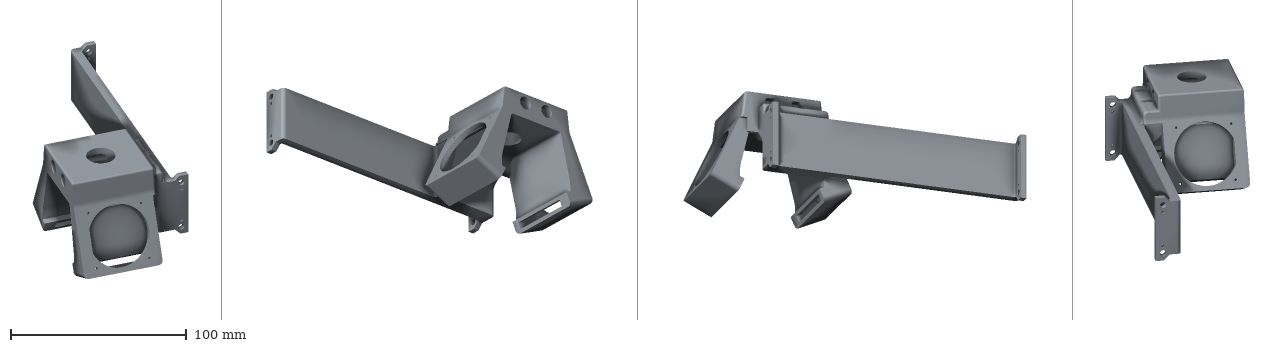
import cadquery as cq
import math

length = 181.6
depth = 73.4
height = 60.5
bar_end_x = 153.7
bar_front_y = 58.7
bar_back_y = 64.3
bar_bottom_z = 11.0
bar_top_z = 43.8
bar_corner_radius = 2.4

tab_thickness = 3.5
tab_bottom_z = 7.6
tab_top_z = 46.3
tab_neck_y = 65.2
tab_root_radius = 1.5
tab_hole_y = 69.2
tab_hole_inset = 4.5
tab_hole_radius = 1.8
tab_pin_inset = 8.9
tab_pin_radius = 0.9

shroud_half_width = 42.9
center_x = length - shroud_half_width
leg_depth = 47.8
block_depth = 49.8
block_top_half = 23.0
block_edge_radius = 1.3
block_back_radius = 1.5
shoulder_radius = 7.3
ceiling_z = 44.3
tilt = math.radians(25)
tip_z = 7.8
outer_wall_length = 42.7
leg_end_width = 18.5
nozzle_height = 8.2
hook_width = 3.0
leg_corner_radius = 2.7
inner_bend_half = 25.5
inner_bend_z = 14.5
inner_bend_radius = 21.8
window_top_half = 18.2
window_corner_radius = 1.5

fan_plate = 3.3
duct_floor = 2.2
outlet_top = 6.2
duct_wall = 2.7
duct_top_z = 41.0
duct_front_y = 7.3
duct_back_y = 43.6

fan_center_up = 21.0
fan_center_y = 24.2
fan_hole_radius = 18.3
fan_screw_offset = 16.0
fan_screw_radius = 0.7

top_hole_y = 25.8
top_hole_radius = 8.4
screw_spacing = 15.8
screw_z = 54.1
screw_radius = 2.2
counterbore_radius = 4.0
counterbore_depth = 4.5
nut_corner_diameter = 8.2
nut_depth = 4.5
nut_channel_end_y = 58.5

connector_left_x = 113.5
connector_front_y = 54.1
connector_edge_radius = 2.2
connector_bar_radius = 2.2
wall_front_y = 45.5
wall_bottom_z = 36.0
wall_bottom_radius = 2.0
ceiling_radius = 4.9
slope_bottom_z = 28.7
slope_radius = 4.9
shelf_back_y = 58.5
shelf_top_z = 51.4
shelf_radius = 2.4
shelf_root_radius = 2.5


def near(x, y, z):
    """Selector of the edge whose middle lies closest to a point."""
    return cq.selectors.NearestToPointSelector((x, y, z))


def box(x0, x1, y0, y1, z0, z1):
    """Box between two corners."""
    return cq.Workplane("XY").box(x1 - x0, y1 - y0, z1 - z0, centered=False).translate((x0, y0, z0))


def extrude_y(points, y0, y1):
    """XZ outline extruded from y0 to y1."""
    return cq.Workplane("XZ", origin=(0, y0, 0)).polyline(points).close().extrude(y0 - y1)


def extrude_x(points, x0, x1):
    """YZ outline extruded from x0 to x1."""
    return cq.Workplane("YZ", origin=(x0, 0, 0)).polyline(points).close().extrude(x1 - x0)


def cylinder_y(x, z, radius, y0, y1):
    """Cylinder along Y."""
    return cq.Workplane("XZ", origin=(x, y0, z)).circle(radius).extrude(y0 - y1)


def leg_point(up, inward):
    """X and Z at a distance up the right leg's outer wall from its tip, and inward from that wall."""
    half = shroud_half_width - up * math.sin(tilt) - inward * math.cos(tilt)
    return (center_x + half, tip_z + up * math.cos(tilt) - inward * math.sin(tilt))


def both_sides(shape):
    """The shape together with its mirror image about the shroud's middle plane."""
    return shape.union(shape.mirror("YZ", (center_x, 0, 0)))


def bar():
    bar_body = box(0, bar_end_x, bar_front_y, bar_back_y, bar_bottom_z, bar_top_z)
    return bar_body.edges("|Z and <X and <Y").fillet(bar_corner_radius)


def tab(x0, root_side):
    """Screw tab starting at x0; root_side is the direction along X of its inner corner."""
    flare = tab_top_z - bar_top_z
    low_flare = bar_bottom_z - tab_bottom_z
    outline = [
        (bar_back_y - 1.8, bar_bottom_z), (tab_neck_y, bar_bottom_z),
        (tab_neck_y + low_flare, tab_bottom_z), (depth, tab_bottom_z),
        (depth, tab_top_z), (tab_neck_y + flare, tab_top_z),
        (tab_neck_y, bar_top_z), (bar_back_y - 1.8, bar_top_z),
    ]
    x1 = x0 + tab_thickness
    plate = extrude_x(outline, x0, x1)
    root_x = x1 if root_side > 0 else x0
    root = (
        cq.Workplane("XY", origin=(0, 0, bar_bottom_z))
        .moveTo(root_x, bar_back_y)
        .lineTo(root_x + root_side * tab_root_radius, bar_back_y)
        .radiusArc((root_x, bar_back_y + tab_root_radius), root_side * tab_root_radius)
        .close()
        .extrude(bar_top_z - bar_bottom_z)
    )
    holes = [
        (tab_hole_y, tab_bottom_z + tab_hole_inset, tab_hole_radius),
        (tab_hole_y, tab_top_z - tab_hole_inset, tab_hole_radius),
        (tab_hole_y, tab_bottom_z + tab_pin_inset, tab_pin_radius),
        (tab_hole_y, tab_top_z - tab_pin_inset, tab_pin_radius),
    ]
    for y, z, radius in holes:
        plate = plate.cut(cq.Workplane("YZ", origin=(x0, y, z)).circle(radius).extrude(tab_thickness))
    return plate.union(root)


def shoulder_profile():
    """XZ corners of the block, from the leg tops to its upper face."""
    shoulder = leg_point(outer_wall_length, 0)
    wall_foot = leg_point(outer_wall_length - (shoulder[1] - ceiling_z) / math.cos(tilt), 0)
    right = [wall_foot, shoulder, (center_x + block_top_half, height)]
    left = [(2 * center_x - x, z) for x, z in reversed(right)]
    return right + left


def round_shoulders(body, middle_y):
    """Round the inward bends where the block's sides meet the legs."""
    x, z = leg_point(outer_wall_length, 0)
    for bend_x in (x, 2 * center_x - x):
        body = body.edges(near(bend_x, middle_y, z)).fillet(shoulder_radius)
    return body


def block():
    body = round_shoulders(extrude_y(shoulder_profile(), 0, block_depth), block_depth / 2)
    side_half = (block_top_half + leg_point(outer_wall_length, 0)[0] - center_x) / 2
    for x in (center_x - side_half, center_x + side_half):
        body = body.edges(near(x, block_depth, (height + ceiling_z) / 2)).fillet(block_back_radius)
    return body.faces(">Z").edges().fillet(block_edge_radius)


def shelf():
    """Step behind the block, with the block's slanted left side and a plain right end."""
    start_y = block_depth - 2 * block_back_radius
    body = extrude_y(shoulder_profile(), start_y, shelf_back_y)
    body = round_shoulders(body, (start_y + shelf_back_y) / 2)
    body = body.intersect(box(0, bar_end_x, 0, depth, 0, shelf_top_z))
    body = body.edges("|X and >Y and >Z").fillet(shelf_radius)
    left_x = 2 * center_x - leg_point(outer_wall_length, 0)[0]
    for x in (left_x, bar_end_x):
        top_edge = near(x, (start_y + shelf_back_y - shelf_radius) / 2, shelf_top_z)
        body = body.edges(top_edge).fillet(block_back_radius)
    return body


def shelf_root():
    """Concave rounding between the back of the shelf and the top of the bar."""
    profile = (
        cq.Workplane("YZ", origin=(connector_left_x, 0, 0))
        .moveTo(shelf_back_y, bar_top_z)
        .lineTo(shelf_back_y + shelf_root_radius, bar_top_z)
        .radiusArc((shelf_back_y, bar_top_z + shelf_root_radius), shelf_root_radius)
        .close()
    )
    return profile.extrude(bar_end_x - connector_left_x)


def right_leg():
    outline = [
        leg_point(outer_wall_length, 0), leg_point(0, 0), leg_point(0, leg_end_width),
        leg_point(nozzle_height, leg_end_width),
        leg_point(nozzle_height, leg_end_width - hook_width),
        (center_x + inner_bend_half, inner_bend_z),
        (center_x + window_top_half, ceiling_z),
        (center_x + window_top_half, leg_point(outer_wall_length, 0)[1]),
    ]
    leg = extrude_y(outline, 0, leg_depth)
    for y in (0, leg_depth):
        x, z = leg_point(0, leg_end_width / 2)
        leg = leg.edges(near(x, y, z)).fillet(leg_corner_radius)
    bend = near(center_x + inner_bend_half, leg_depth / 2, inner_bend_z)
    return leg.edges(bend).fillet(inner_bend_radius)


def right_duct():
    """Hollow of the right leg, running from the fan plate down to the outlet."""
    slope = (inner_bend_half - window_top_half) / (ceiling_z - inner_bend_z)
    top_inner = inner_bend_half + duct_wall - slope * (duct_top_z - inner_bend_z)
    top_up = (duct_top_z - tip_z + fan_plate * math.sin(tilt)) / math.cos(tilt)
    bend_x = center_x + inner_bend_half + duct_wall
    outlet_v = leg_end_width + 1.8
    outline = [
        leg_point(top_up, fan_plate), leg_point(duct_floor, fan_plate),
        leg_point(duct_floor, outlet_v), leg_point(outlet_top, outlet_v),
        leg_point(outlet_top, leg_end_width - hook_width),
        (bend_x, leg_point(nozzle_height, leg_end_width - hook_width)[1]),
        (bend_x, inner_bend_z), (center_x + top_inner, duct_top_z),
    ]
    duct = extrude_y(outline, duct_front_y, duct_back_y)
    bend = near(bend_x, (duct_front_y + duct_back_y) / 2, inner_bend_z)
    return duct.edges(bend).fillet(inner_bend_radius)


def right_fan_holes():
    x, z = leg_point(fan_center_up, 0)
    fan_face = cq.Plane(
        origin=(x, fan_center_y, z), xDir=(0, 1, 0), normal=(math.cos(tilt), 0, math.sin(tilt))
    )
    opening = cq.Workplane(fan_face).circle(fan_hole_radius).extrude(-fan_plate)
    opening = opening.intersect(box(0, length, duct_front_y, duct_back_y, 0, height))
    screws = (
        cq.Workplane(fan_face)
        .rect(2 * fan_screw_offset, 2 * fan_screw_offset, forConstruction=True)
        .vertices()
        .circle(fan_screw_radius)
        .extrude(-fan_plate)
    )
    return opening.union(screws)


def frame():
    """Block and legs, with the upper corners of the front window rounded."""
    body = block().union(both_sides(right_leg()))
    for x in (center_x - window_top_half, center_x + window_top_half):
        body = body.edges(near(x, leg_depth / 2, ceiling_z)).fillet(window_corner_radius)
    return body


def connector():
    """Rear wall below the ceiling that slopes back and down to the bar."""
    slope_top_y = connector_front_y - (wall_bottom_z - slope_bottom_z)
    outline = [
        (slope_top_y, wall_bottom_z), (connector_front_y, slope_bottom_z),
        (connector_front_y, bar_bottom_z), (bar_back_y, bar_bottom_z), (bar_back_y, bar_top_z),
        (shelf_back_y, bar_top_z), (shelf_back_y, ceiling_z), (slope_top_y, ceiling_z),
    ]
    web = extrude_x(outline, connector_left_x, bar_end_x)
    bend = near(center_x, connector_front_y, slope_bottom_z)
    web = web.edges(bend).fillet(slope_radius)
    for x in (connector_left_x, bar_end_x):
        corner = near(x, connector_front_y, (bar_bottom_z + slope_bottom_z) / 2)
        web = web.edges(corner).fillet(connector_edge_radius)
    inner_corner = (
        cq.Workplane("XY", origin=(0, 0, bar_bottom_z))
        .moveTo(connector_left_x, bar_front_y)
        .lineTo(connector_left_x - connector_bar_radius, bar_front_y)
        .radiusArc((connector_left_x, bar_front_y - connector_bar_radius), connector_bar_radius)
        .close()
        .extrude(bar_top_z - bar_bottom_z)
    )
    return web.union(inner_corner)


def rear_wall():
    """Wall between the legs, rounded into the ceiling and at its lower edge."""
    slope = (inner_bend_half - window_top_half) / (ceiling_z - inner_bend_z)
    half = window_top_half + slope * (ceiling_z - wall_bottom_z) + duct_wall / 2
    profile = (
        cq.Workplane("YZ", origin=(center_x - half, 0, 0))
        .moveTo(wall_front_y - ceiling_radius, ceiling_z)
        .radiusArc((wall_front_y, ceiling_z - ceiling_radius), ceiling_radius)
        .lineTo(wall_front_y, wall_bottom_z + wall_bottom_radius)
        .radiusArc((wall_front_y + wall_bottom_radius, wall_bottom_z), -wall_bottom_radius)
        .lineTo(block_depth, wall_bottom_z)
        .lineTo(block_depth, ceiling_z)
        .close()
    )
    return profile.extrude(2 * half)


def block_holes():
    """Central opening, and two screw holes with head recesses in front and nut channels behind."""
    holes = (
        cq.Workplane("XY", origin=(center_x, top_hole_y, ceiling_z))
        .circle(top_hole_radius)
        .extrude(height - ceiling_z)
    )
    for x in (center_x - screw_spacing / 2, center_x + screw_spacing / 2):
        holes = holes.union(cylinder_y(x, screw_z, screw_radius, 0, block_depth))
        holes = holes.union(cylinder_y(x, screw_z, counterbore_radius, 0, counterbore_depth))
        nut_start = cq.Workplane("XZ", origin=(x, block_depth - nut_depth, screw_z))
        nut_length = nut_channel_end_y - block_depth + nut_depth
        holes = holes.union(nut_start.polygon(6, nut_corner_diameter).extrude(-nut_length))
    return holes


result = (
    bar()
    .union(tab(0, 1))
    .union(tab(bar_end_x - tab_thickness, -1))
    .union(frame())
    .union(shelf())
    .union(shelf_root())
    .union(connector())
    .union(rear_wall())
    .cut(both_sides(right_duct().union(right_fan_holes())))
    .cut(block_holes())
)